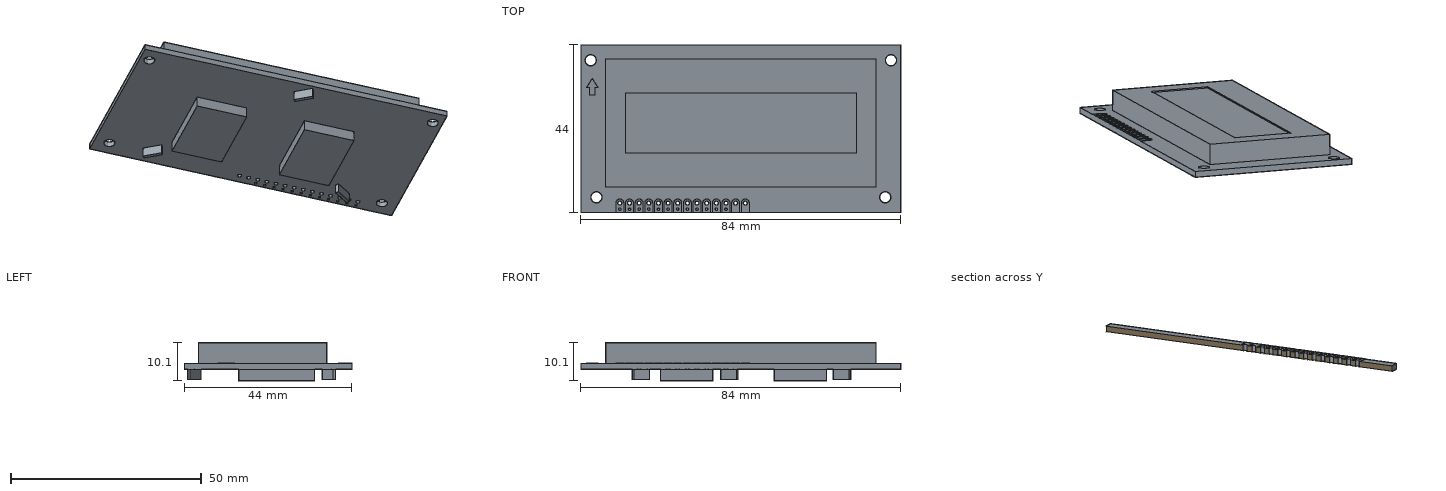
import cadquery as cq


BOARD_LENGTH = 84.0
BOARD_WIDTH = 44.0
BOARD_THICKNESS = 1.6

BEZEL_LENGTH = 71.0
BEZEL_WIDTH = 33.7
BEZEL_HEIGHT = 5.5
BEZEL_Y = 1.5
WINDOW_LENGTH = 60.65
WINDOW_WIDTH = 15.8
WINDOW_DEPTH = 0.3

MOUNT_DIAMETER = 2.85
MOUNT_Y = 18.0
UPPER_MOUNT_X = 39.4
LOWER_MOUNT_X = 37.9

PAD_COUNT = 14
PAD_ROW_LENGTH = 32.9
PAD_PITCH = PAD_ROW_LENGTH / (PAD_COUNT - 1)
PAD_WIDTH = 2.1
FIRST_PAD_X = -31.75
PAD_HEIGHT = 0.1
PIN_HOLE_Y = -19.5
PIN_HOLE_DIAMETER = 1.0
VIA_COUNT = 12
VIA_Y = -21.1
VIA_DIAMETER = 0.6

ARROW_X = -39.0
ARROW_TIP_Y = 13.2
ARROW_HEAD_LENGTH = 2.35
ARROW_HEAD_WIDTH = 3.0
ARROW_STEM_LENGTH = 1.9
ARROW_STEM_WIDTH = 1.35

TOTAL_HEIGHT = 10.1
CHIP_HEIGHT = TOTAL_HEIGHT - BEZEL_HEIGHT - BOARD_THICKNESS
CHIP_LENGTH = 13.8
CHIP_WIDTH = 19.9
CHIP_Y = -2.2
CHIP_XS = (-14.2, 15.6)

TAB_LENGTH = 5.0
TAB_THICKNESS = 0.8
TAB_HEIGHT = 2.7
TAB_TWIST = 35.0
LOWER_LEFT_TAB_X = -26.2
LOWER_RIGHT_TAB_X = 26.55
LOWER_TAB_Y = -15.9
UPPER_TAB_X = -3.0
UPPER_TAB_Y = 19.4
TABS = (
    (LOWER_LEFT_TAB_X, LOWER_TAB_Y, 1),
    (LOWER_RIGHT_TAB_X, LOWER_TAB_Y, -1),
    (UPPER_TAB_X, UPPER_TAB_Y, -1),
)

BOARD_BOTTOM_Z = -BOARD_THICKNESS
FRONT_EDGE_Y = -BOARD_WIDTH / 2


def block(length, width, z_low, height, x=0.0, y=0.0):
    """Upright box centred on (x, y), from z_low upwards."""
    box = cq.Workplane("XY").box(length, width, height, centered=(True, True, False))
    return box.translate((x, y, z_low))


def make_bezel():
    """Display bezel with its recessed window."""
    body = block(BEZEL_LENGTH, BEZEL_WIDTH, 0, BEZEL_HEIGHT, y=BEZEL_Y)
    window_floor = BEZEL_HEIGHT - WINDOW_DEPTH
    window = block(WINDOW_LENGTH, WINDOW_WIDTH, window_floor, WINDOW_DEPTH, y=BEZEL_Y)
    return body.cut(window)


def make_pad(x):
    """Round-ended solder pad reaching the -Y edge of the board."""
    half_width = PAD_WIDTH / 2
    return (
        cq.Workplane("XY")
        .moveTo(x - half_width, FRONT_EDGE_Y)
        .lineTo(x + half_width, FRONT_EDGE_Y)
        .lineTo(x + half_width, PIN_HOLE_Y)
        .threePointArc((x, PIN_HOLE_Y + half_width), (x - half_width, PIN_HOLE_Y))
        .close()
        .extrude(PAD_HEIGHT)
    )


def make_arrow():
    """Flat arrow, as thick as the pads."""
    head_base_y = ARROW_TIP_Y - ARROW_HEAD_LENGTH
    tail_y = head_base_y - ARROW_STEM_LENGTH
    return (
        cq.Workplane("XY")
        .moveTo(ARROW_X, ARROW_TIP_Y)
        .lineTo(ARROW_X + ARROW_HEAD_WIDTH / 2, head_base_y)
        .lineTo(ARROW_X + ARROW_STEM_WIDTH / 2, head_base_y)
        .lineTo(ARROW_X + ARROW_STEM_WIDTH / 2, tail_y)
        .lineTo(ARROW_X - ARROW_STEM_WIDTH / 2, tail_y)
        .lineTo(ARROW_X - ARROW_STEM_WIDTH / 2, head_base_y)
        .lineTo(ARROW_X - ARROW_HEAD_WIDTH / 2, head_base_y)
        .close()
        .extrude(PAD_HEIGHT)
    )


def make_chip(x):
    """Rectangular chip body hanging below the board."""
    return block(CHIP_LENGTH, CHIP_WIDTH, BOARD_BOTTOM_Z - CHIP_HEIGHT, CHIP_HEIGHT, x, CHIP_Y)


def make_tab(x, y, direction):
    """Twisted tab hanging below the board."""
    tab = block(TAB_LENGTH, TAB_THICKNESS, BOARD_BOTTOM_Z - TAB_HEIGHT, TAB_HEIGHT)
    return tab.rotate((0, 0, 0), (0, 0, 1), direction * TAB_TWIST).translate((x, y, 0))


def make_holes(points, diameter):
    """Cylinders that pass through the board and its pads."""
    return (
        cq.Workplane("XY", origin=(0, 0, BOARD_BOTTOM_Z))
        .pushPoints(points)
        .circle(diameter / 2)
        .extrude(BOARD_THICKNESS + PAD_HEIGHT)
    )


pad_xs = [FIRST_PAD_X + i * PAD_PITCH for i in range(PAD_COUNT)]
mount_points = [
    (-UPPER_MOUNT_X, MOUNT_Y),
    (UPPER_MOUNT_X, MOUNT_Y),
    (-LOWER_MOUNT_X, -MOUNT_Y),
    (LOWER_MOUNT_X, -MOUNT_Y),
]

result = block(BOARD_LENGTH, BOARD_WIDTH, BOARD_BOTTOM_Z, BOARD_THICKNESS)
result = result.union(make_bezel()).union(make_arrow())
for pad_x in pad_xs:
    result = result.union(make_pad(pad_x))
for chip_x in CHIP_XS:
    result = result.union(make_chip(chip_x))
for tab_x, tab_y, twist_direction in TABS:
    result = result.union(make_tab(tab_x, tab_y, twist_direction))

result = result.cut(make_holes(mount_points, MOUNT_DIAMETER))
result = result.cut(make_holes([(x, PIN_HOLE_Y) for x in pad_xs], PIN_HOLE_DIAMETER))
result = result.cut(make_holes([(x, VIA_Y) for x in pad_xs[:VIA_COUNT]], VIA_DIAMETER))